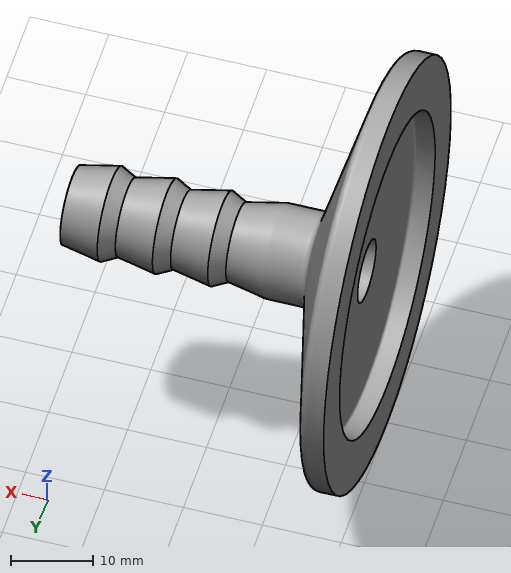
import cadquery as cq
import math


flange_radius = 55 / 2
rim_thickness = 3.0
back_angle = math.radians(15)
edge_fillet = 1.0

recess_radius = 41.2 / 2
recess_depth = 2.6
recess_fillet = 0.3

total_length = 40.0
stem_radius = 12 / 2
valley_radius = 10 / 2
barb_count = 3
barb_taper_length = 5.0
barb_rise_length = 2.0
bore_radius = 8 / 2

barb_pitch = barb_taper_length + barb_rise_length
stem_end = total_length - barb_taper_length - barb_count * barb_pitch
cone_foot = rim_thickness + (flange_radius - stem_radius) * math.tan(back_angle)


def make_body():
    """Flange, conical back and barbed stem as one revolved half profile."""
    profile = (
        cq.Workplane("XY")
        .lineTo(0, flange_radius)
        .lineTo(rim_thickness, flange_radius)
        .lineTo(cone_foot, stem_radius)
        .lineTo(stem_end, stem_radius)
    )
    for barb in range(barb_count):
        valley = stem_end + barb * barb_pitch + barb_taper_length
        profile = profile.lineTo(valley, valley_radius)
        profile = profile.lineTo(valley + barb_rise_length, stem_radius)
    profile = profile.lineTo(total_length, valley_radius).lineTo(total_length, 0).close()
    return profile.revolve(360, (0, 0, 0), (1, 0, 0))


def round_cone_edges(body):
    """Round both ends of the conical back: the rim edge and the foot of the stem."""
    margin = 0.1
    cone_ends = cq.selectors.BoxSelector(
        (rim_thickness - margin, -flange_radius, -flange_radius),
        (cone_foot + margin, flange_radius, flange_radius),
    )
    return body.edges(cone_ends).fillet(edge_fillet)


def make_recess():
    """Shallow round pocket with a rounded corner at its floor."""
    pocket = cq.Workplane("YZ").circle(recess_radius).extrude(recess_depth)
    return pocket.faces(">X").edges().fillet(recess_fillet)


def make_bore():
    """Through bore along the axis."""
    return cq.Workplane("YZ").circle(bore_radius).extrude(total_length)


result = round_cone_edges(make_body()).cut(make_recess()).cut(make_bore())